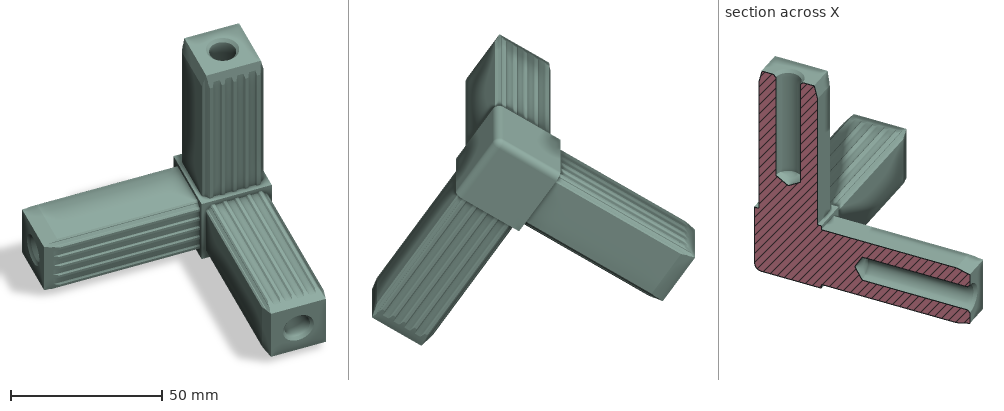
import cadquery as cq
import math

hub_side = 25.0
hub_edge_radius = 2.5

overall_length = 80.0
leg_width = 22.0
leg_end = overall_length - hub_side / 2

strip_height = 0.5
strip_root = 0.5
core_width = leg_width - 2 * strip_height
core_chamfer = 1.35
rib_count = 5
rib_pitch = 4.2
rib_top_width = 1.0
panel_top_width = (rib_count - 1) * rib_pitch + rib_top_width

tip_width = 19.5
tip_length = 5.0
tip_angle = math.degrees(math.atan((leg_width - tip_width) / 2 / tip_length))

hole_diameter = 9.0
hole_mouth_diameter = 11.0
hole_chamfer = (hole_mouth_diameter - hole_diameter) / 2
hole_depth = 40.0
drill_point_angle = 118.0
hole_radius = hole_diameter / 2
drill_point_length = hole_radius / math.tan(math.radians(drill_point_angle / 2))


def make_hub():
    """Cube with the three edges at its -X, +Y, -Z corner rounded."""
    cube = cq.Workplane("XY").box(hub_side, hub_side, hub_side)
    left_edges = cube.faces("<X").edges(">Y or <Z")
    back_bottom_edge = cube.faces(">Y").edges("<Z")
    return left_edges.add(back_bottom_edge).fillet(hub_edge_radius)


def make_strip(top_width, centre):
    """Lengthwise strip raised on the +X side of the core, with 45 degree flanks."""
    core_face = core_width / 2
    strip_top = core_face + strip_height
    top_half = top_width / 2
    foot_half = top_half + strip_height
    root = core_face - strip_root
    outline = [
        (root, centre - foot_half),
        (core_face, centre - foot_half),
        (strip_top, centre - top_half),
        (strip_top, centre + top_half),
        (core_face, centre + foot_half),
        (root, centre + foot_half),
    ]
    return cq.Workplane("XY").polyline(outline).close().extrude(leg_end)


def make_hole():
    """Hole with a chamfered mouth and a conical bottom, revolved about the leg axis."""
    bottom = leg_end - hole_depth
    return (
        cq.Workplane("XZ")
        .moveTo(0, leg_end)
        .lineTo(hole_radius + hole_chamfer, leg_end)
        .lineTo(hole_radius, leg_end - hole_chamfer)
        .lineTo(hole_radius, bottom)
        .lineTo(0, bottom - drill_point_length)
        .close()
        .revolve(360, (0, 0, 0), (0, 1, 0))
    )


def turned(shape, angle):
    """Shape turned about the leg axis."""
    return shape.rotate((0, 0, 0), (0, 0, 1), angle)


def make_leg():
    """Leg along +Z from the hub centre: ribs on its X sides, flat panels on its Y sides."""
    leg = cq.Workplane("XY").rect(core_width, core_width).extrude(leg_end)
    leg = leg.edges("|Z").chamfer(core_chamfer)
    panel = make_strip(panel_top_width, 0)
    for angle in (90, 270):
        leg = leg.union(turned(panel, angle))
    for index in range(rib_count):
        rib = make_strip(rib_top_width, (index - (rib_count - 1) / 2) * rib_pitch)
        for angle in (0, 180):
            leg = leg.union(turned(rib, angle))
    lead_in = (
        cq.Workplane("XY", origin=(0, 0, leg_end))
        .rect(tip_width, tip_width)
        .extrude(-leg_end, taper=-tip_angle)
    )
    return leg.intersect(lead_in)


def along_axes(shape):
    """Copies of a +Z shape turned to +Z, -Y and +X."""
    toward_front = shape.rotate((0, 0, 0), (1, 0, 0), 90)
    toward_right = shape.rotate((0, 0, 0), (0, 1, 0), 90)
    return [shape, toward_front, toward_right]


result = make_hub()
for leg in along_axes(make_leg()):
    result = result.union(leg)
for hole in along_axes(make_hole()):
    result = result.cut(hole)